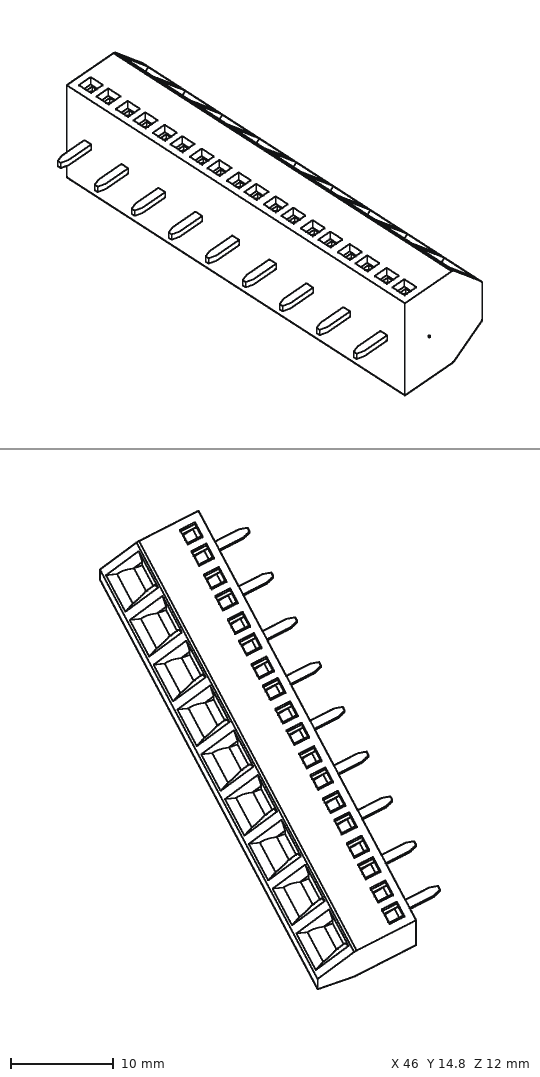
import cadquery as cq
import math


overall_length = 46
pip_height = 0.15
length = overall_length - pip_height
depth = 10.8
height = 12.0
top = height / 2
bottom = -height / 2
lower_chamfer_run = 4.05
lower_chamfer_rise = 2.9

pip_diameter = 0.2
pip_y = 3.3
pip_z = -0.35

bevel_start_y = 6.55
entry_start_y = 6.8
entry_end_y = 10.63
bevel_drop = 0.1
back_edge_drop = 4.2
entry_start_z = top - bevel_drop
back_edge_z = top - back_edge_drop

pole_count = 9
pitch = 5.0
pole_positions = [(i - (pole_count - 1) / 2) * pitch for i in range(pole_count)]

pin_length = 4.0
pin_width = 0.9
pin_thickness = 0.7
pin_tip_width = 0.4
pin_tip_length = 0.85

funnel_front_y = 7.0
funnel_back_y = 10.6
funnel_mouth_width = 4.1
funnel_throat_width = 2.58
funnel_throat_depth = 1.4
funnel_reach = depth
ledge_front_y = 9.55
ramp_radius = 2.1
ramp_rise = 0.65
crest_y = 7.9
drop_angle = 35

test_hole_size = 1.65
test_hole_y = 1.65
test_hole_spacing = 2.4
test_hole_depth = 0.95
slot_width = 1.0
slot_step = 0.15
slot_ramp_start_y = 1.25
slot_ramp_end_y = 2.35
slot_ramp_angle = 22


def entry_z(y):
    """Height of the wire-entry face at a given Y."""
    return entry_start_z - (y - entry_start_y)


def extrude_along_x(outline, width):
    """Extrude a YZ outline by width, centred on X = 0."""
    return outline.extrude(width / 2, both=True)


def make_housing():
    """Solid housing with the chamfered end outline."""
    outline = cq.Workplane("YZ").polyline([
        (0, bottom),
        (depth - lower_chamfer_run, bottom),
        (depth, bottom + lower_chamfer_rise),
        (depth, back_edge_z),
        (entry_end_y, entry_z(entry_end_y)),
        (entry_start_y, entry_start_z),
        (bevel_start_y, top),
        (0, top),
    ]).close()
    return extrude_along_x(outline, length)


def make_pip():
    """Pip standing on the +X end face."""
    return cq.Workplane("YZ", origin=(length / 2, 0, 0)).center(pip_y, pip_z).circle(
        pip_diameter / 2).extrude(pip_height)


def make_funnel():
    """Tapered wire entry with a ledge, a bulging rounded ramp and a drop beyond its crest."""
    ledge_z = entry_z(funnel_back_y)
    crest_z = ledge_z + ramp_rise
    drop_end_z = crest_z - (crest_y - funnel_front_y) * math.tan(math.radians(drop_angle))
    floor = (
        cq.Workplane("YZ")
        .moveTo(funnel_back_y, ledge_z)
        .lineTo(ledge_front_y, ledge_z)
        .radiusArc((crest_y, crest_z), -ramp_radius)
        .lineTo(funnel_front_y, drop_end_z)
        .lineTo(funnel_front_y, entry_z(funnel_front_y))
        .close()
    )
    entry_plane = cq.Plane(
        origin=(0, entry_start_y, entry_start_z), xDir=(1, 0, 0), normal=(0, 1, -1)
    )
    mouth = funnel_mouth_width / 2
    throat = funnel_throat_width / 2
    section = cq.Workplane(entry_plane).polyline([
        (-mouth, 0),
        (-throat, funnel_throat_depth),
        (-throat, funnel_reach),
        (throat, funnel_reach),
        (throat, funnel_throat_depth),
        (mouth, 0),
    ]).close().extrude(funnel_reach, both=True)
    return extrude_along_x(floor, funnel_mouth_width).intersect(section)


def make_test_hole():
    """Square hole with a ramped slot in its floor."""
    floor_z = top - test_hole_depth
    front_y = test_hole_y - test_hole_size / 2
    slot_z = floor_z - slot_step
    ramp_drop = (slot_ramp_end_y - slot_ramp_start_y) * math.tan(math.radians(slot_ramp_angle))
    hole = cq.Workplane("XY", origin=(0, test_hole_y, floor_z)).rect(
        test_hole_size, test_hole_size).extrude(test_hole_depth)
    slot = cq.Workplane("YZ").polyline([
        (front_y, floor_z),
        (front_y, slot_z),
        (slot_ramp_start_y, slot_z),
        (slot_ramp_end_y, slot_z - ramp_drop),
        (slot_ramp_end_y, floor_z),
    ]).close()
    return hole.union(extrude_along_x(slot, slot_width))


def make_pin():
    """Flat pin whose tip narrows in width only."""
    half = pin_width / 2
    half_tip = pin_tip_width / 2
    shoulder_y = pin_tip_length - pin_length
    return cq.Workplane("XY").polyline([
        (-half, 0),
        (-half, shoulder_y),
        (-half_tip, -pin_length),
        (half_tip, -pin_length),
        (half, shoulder_y),
        (half, 0),
    ]).close().extrude(pin_thickness / 2, both=True)


result = make_housing().union(make_pip())
funnel = make_funnel()
test_hole = make_test_hole()
pin = make_pin()
for x in pole_positions:
    result = result.cut(funnel.translate((x, 0, 0)))
    for side in (-1, 1):
        result = result.cut(test_hole.translate((x + side * test_hole_spacing / 2, 0, 0)))
    result = result.union(pin.translate((x, 0, 0)))